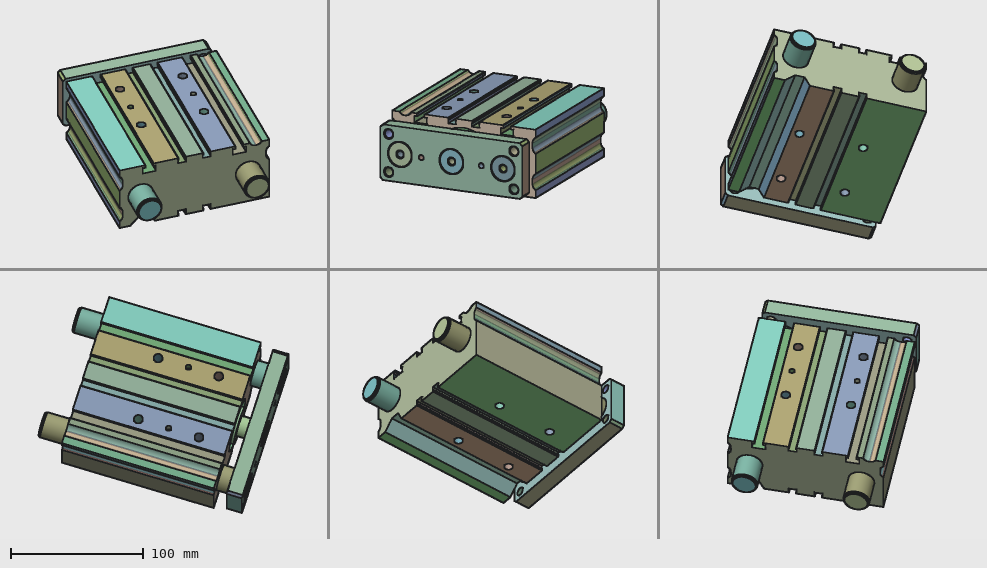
import cadquery as cq
import math


total_length = 163.0
housing_length = 120.0
housing_width = 120.0
housing_height = 54.0
plate_thickness = 12.0
plate_width = 118.7
plate_height = 44.0
plate_corner_chamfer = 2.1
plate_gap = 10.0

housing_front = plate_thickness + plate_gap
housing_back = housing_front + housing_length
side = housing_width / 2
top = housing_height / 2

guide_diameter = 20.0
guide_offset = 43.0
guide_places = (-guide_offset, guide_offset)
guide_tip_taper_length = 1.1
guide_tip_taper_depth = 0.5
guide_tip_chamfer = 0.7
piston_diameter = 16.0
piston_head_diameter = 20.0
piston_end = housing_front + housing_length / 2
rod_front = 0.5
rod_front_chamfer = 0.5
center_hole_diameter = 5.2
center_hole_chamfer = 0.7
center_hole_depth = plate_thickness
drill_point_angle = 118.0
collar_diameter = 29.0
collar_projection = 1.6
recess_diameter = 41.4
recess_depth = 3.6
recess_floor = housing_front + recess_depth

plate_bolt_diameter = 6.7
plate_bolt_chamfer = 0.7
plate_bolt_y = 52.3
plate_bolt_z = 15.0
plate_pin_diameter = 4.0
pin_offset = 25.1
pin_places = (-pin_offset, pin_offset)

mount_diameter = 6.7
mount_pin_diameter = 4.0
mount_pin_depth = 9.8
mount_pitch = 24.0
mount_pin_x = housing_front + 46.5

tee_offset = 36.0
tee_mouth = 6.4
tee_width = 10.5
tee_depth = 7.3
tee_lip = 2.5
tee_edge = 0.3
sensor_offset = 10.0
sensor_mouth = 5.2
sensor_width = 6.4
sensor_depth = 4.5
sensor_lip = 1.6
sensor_edge = 0.5
groove_radius = 5.0
groove_slope = math.radians(45)
groove_depth = 2.6
groove_floor = 3.6
groove_offset = 14.3
trough_depth = 3.0
trough_floor = 0.5
trough_inner_y = 48.9
step_drop = 0.5
channel_depth = 8.2
channel_inner_y = -31.8
channel_outer_y = -51.5
channel_inner_angle = 63.0
channel_outer_angle = 45.0


def prism(outline):
    """Close a YZ outline and run it the length of the housing."""
    return outline.close().extrude(housing_length)


def profile_plane():
    return cq.Workplane("YZ", origin=(housing_front, 0, 0))


def x_cylinder(diameter, start, end, y=0.0):
    return cq.Workplane("YZ", origin=(start, y, 0)).circle(diameter / 2).extrude(end - start)


def lipped_slot(center_y, mouth, width, depth, lip, edge):
    """Slot open at the top face, wider below its lips, with chamfered mouth edges."""
    half = [
        (mouth / 2 + edge, 0),
        (mouth / 2, -edge),
        (mouth / 2, -lip),
        (width / 2, -lip),
        (width / 2, -depth),
    ]
    mirrored = [(-y, z) for y, z in reversed(half)]
    outline = [(center_y + y, top + z) for y, z in half + mirrored]
    return prism(profile_plane().polyline(outline))


def arc_rise_and_run(angle):
    """Rise and run of a groove arc that leaves the floor tangentially and turns by angle."""
    return groove_radius * (1 - math.cos(angle)), groove_radius * math.sin(angle)


def side_groove(center_z):
    """Groove in the -Y side: flat floor, an arc at each end, then a straight slope."""
    rise, run = arc_rise_and_run(groove_slope)
    mid_rise, mid_run = arc_rise_and_run(groove_slope / 2)
    floor_y = -side + groove_depth
    floor_end = groove_floor / 2
    arc_end = floor_end + run
    mouth_end = arc_end + (groove_depth - rise) / math.tan(groove_slope)
    return prism(
        profile_plane()
        .moveTo(-side, center_z - mouth_end)
        .lineTo(floor_y - rise, center_z - arc_end)
        .threePointArc(
            (floor_y - mid_rise, center_z - floor_end - mid_run),
            (floor_y, center_z - floor_end),
        )
        .lineTo(floor_y, center_z + floor_end)
        .threePointArc(
            (floor_y - mid_rise, center_z + floor_end + mid_run),
            (floor_y - rise, center_z + arc_end),
        )
        .lineTo(-side, center_z + mouth_end)
    )


def top_trough():
    """Round trough in the top face at +Y, together with the lowered strip outside it."""
    rise, run = arc_rise_and_run(groove_slope)
    mid_rise, mid_run = arc_rise_and_run(groove_slope / 2)
    full_angle = math.acos(1 - trough_depth / groove_radius)
    _, inner_run = arc_rise_and_run(full_angle)
    inner_mid_rise, inner_mid_run = arc_rise_and_run(full_angle / 2)
    floor_z = top - trough_depth
    strip_z = top - step_drop
    floor_outer_y = trough_inner_y + trough_floor
    slope_run = (strip_z - floor_z - rise) / math.tan(groove_slope)
    return prism(
        profile_plane()
        .moveTo(trough_inner_y - inner_run, top)
        .threePointArc(
            (trough_inner_y - inner_mid_run, floor_z + inner_mid_rise),
            (trough_inner_y, floor_z),
        )
        .lineTo(floor_outer_y, floor_z)
        .threePointArc(
            (floor_outer_y + mid_run, floor_z + mid_rise),
            (floor_outer_y + run, floor_z + rise),
        )
        .lineTo(floor_outer_y + run + slope_run, strip_z)
        .lineTo(side, strip_z)
        .lineTo(side, top)
    )


def bottom_channel():
    """Channel in the bottom face at -Y that narrows towards its floor."""
    inner_run = channel_depth / math.tan(math.radians(channel_inner_angle))
    outer_run = channel_depth / math.tan(math.radians(channel_outer_angle))
    return prism(
        profile_plane()
        .moveTo(channel_inner_y, -top)
        .lineTo(channel_inner_y - inner_run, -top + channel_depth)
        .lineTo(channel_outer_y + outer_run, -top + channel_depth)
        .lineTo(channel_outer_y, -top)
    )


def make_housing():
    body = profile_plane().rect(housing_width, housing_height).extrude(housing_length)

    for y in (-tee_offset, tee_offset):
        body = body.cut(lipped_slot(y, tee_mouth, tee_width, tee_depth, tee_lip, tee_edge))
    for y in (-sensor_offset, sensor_offset):
        slot = lipped_slot(y, sensor_mouth, sensor_width, sensor_depth, sensor_lip, sensor_edge)
        body = body.cut(slot).cut(slot.mirror("XY"))

    upper_groove = side_groove(groove_offset)
    body = body.cut(upper_groove).cut(upper_groove.mirror("XZ"))
    body = body.cut(side_groove(-groove_offset))
    body = body.cut(top_trough()).cut(bottom_channel())

    for y in guide_places:
        body = body.cut(x_cylinder(guide_diameter, housing_front, housing_back, y))
    body = body.cut(x_cylinder(piston_diameter, housing_front, piston_end))
    body = body.cut(x_cylinder(recess_diameter, housing_front, recess_floor))

    mount_points = [
        (mount_pin_x + shift, y)
        for shift in (-mount_pitch, mount_pitch)
        for y in pin_places
    ]
    pin_points = [(mount_pin_x, y) for y in pin_places]
    bolts = cq.Workplane("XY", origin=(0, 0, -top)).pushPoints(mount_points)
    pins = cq.Workplane("XY", origin=(0, 0, top)).pushPoints(pin_points)
    body = body.cut(bolts.circle(mount_diameter / 2).extrude(housing_height))
    return body.cut(pins.circle(mount_pin_diameter / 2).extrude(-mount_pin_depth))


def make_plate():
    plate = (
        cq.Workplane("YZ")
        .rect(plate_width, plate_height)
        .extrude(plate_thickness)
        .edges("|X")
        .chamfer(plate_corner_chamfer)
    )
    bolt_holes = (
        cq.Workplane("YZ")
        .rect(2 * plate_bolt_y, 2 * plate_bolt_z, forConstruction=True)
        .vertices()
        .circle(plate_bolt_diameter / 2)
        .extrude(plate_thickness)
    )
    plate = plate.cut(bolt_holes)
    plate = plate.faces("<X").edges("%CIRCLE").chamfer(plate_bolt_chamfer)

    for y in pin_places:
        plate = plate.cut(x_cylinder(plate_pin_diameter, 0, plate_thickness, y))
    for y in guide_places:
        plate = plate.cut(x_cylinder(guide_diameter, 0, plate_thickness, y))
    return plate.cut(x_cylinder(piston_head_diameter, 0, plate_thickness))


def center_hole():
    """Chamfered drilled hole along X from the front face, as a solid to cut away."""
    radius = center_hole_diameter / 2
    point_length = radius / math.tan(math.radians(drill_point_angle / 2))
    return (
        cq.Workplane("XY")
        .polyline([
            (rod_front, 0),
            (rod_front, radius + center_hole_chamfer),
            (rod_front + center_hole_chamfer, radius),
            (rod_front + center_hole_depth, radius),
            (rod_front + center_hole_depth + point_length, 0),
        ])
        .close()
        .revolve(360, (0, 0, 0), (1, 0, 0))
    )


def make_guide_rod(y):
    """Rod right through plate and housing, with a tapered and chamfered free end."""
    radius = guide_diameter / 2
    taper_radius = radius - guide_tip_taper_depth
    taper_end = total_length - guide_tip_chamfer
    rod = (
        cq.Workplane("XY")
        .polyline([
            (rod_front, 0),
            (rod_front, radius - rod_front_chamfer),
            (rod_front + rod_front_chamfer, radius),
            (taper_end - guide_tip_taper_length, radius),
            (taper_end, taper_radius),
            (total_length, taper_radius - guide_tip_chamfer),
            (total_length, 0),
        ])
        .close()
        .revolve(360, (0, 0, 0), (1, 0, 0))
    )
    return rod.cut(center_hole()).translate((0, y, 0))


def make_piston_rod():
    """Rod with a wider head inside the plate."""
    head = x_cylinder(piston_head_diameter, rod_front, plate_thickness)
    head = head.faces("<X").chamfer(rod_front_chamfer)
    shank = x_cylinder(piston_diameter, plate_thickness, piston_end)
    return head.union(shank).cut(center_hole())


def make_collar():
    """Ring around the piston rod, standing on the recess floor and out past the housing front."""
    collar_front = housing_front - collar_projection
    ring = x_cylinder(collar_diameter, collar_front, recess_floor)
    return ring.cut(x_cylinder(piston_diameter, collar_front, recess_floor))


housing = make_housing()
plate = make_plate()
guide_rods = [make_guide_rod(y) for y in guide_places]
piston_rod = make_piston_rod()
collar = make_collar()

result = cq.Compound.makeCompound([
    housing.val(),
    plate.val(),
    *[rod.val() for rod in guide_rods],
    piston_rod.val(),
    collar.val(),
])